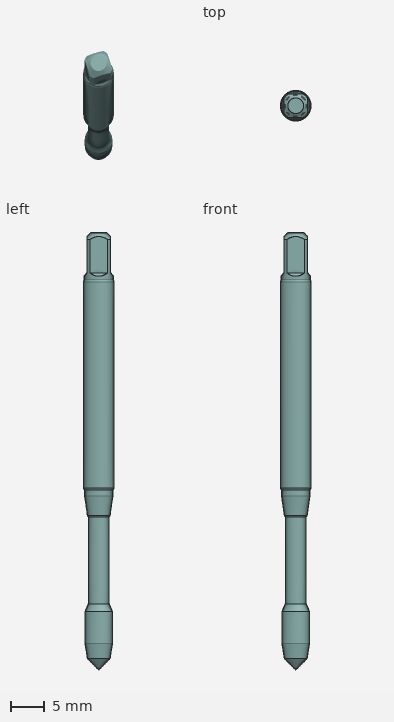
import cadquery as cq

TOTAL_LENGTH = 64.7

TIP_BASE_DIAMETER = 3.35
TIP_HEIGHT = TIP_BASE_DIAMETER / 2
HEAD_DIAMETER = 4.1
HEAD_LOWER_Z = 3.9
HEAD_UPPER_Z = 8.6
HEAD_TOP_Z = 9.8

NECK_DIAMETER = 3.1
NECK_TOP_Z = 22.65
TAPER_LOWER_DIAMETER = 3.35
TAPER_LOWER_Z = 22.85
COLLAR_DIAMETER = 4.2
COLLAR_LOWER_Z = 25.75
COLLAR_UPPER_Z = 26.6
SHANK_DIAMETER = 4.5
SHANK_LOWER_Z = 26.9
SHANK_UPPER_Z = 57.4

DRIVE_DIAMETER = 4.35
DRIVE_LOWER_Z = 57.8
DRIVE_TOP_DIAMETER = 2.3
DRIVE_CHAMFER = (DRIVE_DIAMETER - DRIVE_TOP_DIAMETER) / 2
SQUARE_WIDTH = 3.5
FLAT_LOWER_Z = 58.75
RAMP_RUN = 0.65
RAMP_DROP = 0.8
FLAT_COUNT = 4


def turned(stations):
    """Revolve a profile of (diameter, z) stations, listed upward, about Z."""
    outline = [(diameter / 2, z) for diameter, z in stations]
    outline = [(0, stations[0][1])] + outline + [(0, stations[-1][1])]
    if outline[0] == outline[1]:
        outline.pop(0)
    return cq.Workplane("XZ").polyline(outline).close().revolve(360, (0, 0), (0, 1))


def flat_cutter():
    """Cutter for one drive flat, with a sloping floor that runs out at the rim."""
    inner = SQUARE_WIDTH / 2
    outer = inner + RAMP_RUN
    profile = [
        (inner, FLAT_LOWER_Z),
        (outer, FLAT_LOWER_Z - RAMP_DROP),
        (outer, TOTAL_LENGTH),
        (inner, TOTAL_LENGTH),
    ]
    return cq.Workplane("XZ").polyline(profile).close().extrude(SHANK_DIAMETER / 2, both=True)


def make_head():
    return turned([
        (0, 0),
        (TIP_BASE_DIAMETER, TIP_HEIGHT),
        (HEAD_DIAMETER, HEAD_LOWER_Z),
        (HEAD_DIAMETER, HEAD_UPPER_Z),
        (NECK_DIAMETER, HEAD_TOP_Z),
    ])


def make_shank():
    shank = turned([
        (NECK_DIAMETER, HEAD_TOP_Z),
        (NECK_DIAMETER, NECK_TOP_Z),
        (TAPER_LOWER_DIAMETER, TAPER_LOWER_Z),
        (COLLAR_DIAMETER, COLLAR_LOWER_Z),
        (COLLAR_DIAMETER, COLLAR_UPPER_Z),
        (SHANK_DIAMETER, SHANK_LOWER_Z),
        (SHANK_DIAMETER, SHANK_UPPER_Z),
        (DRIVE_DIAMETER, DRIVE_LOWER_Z),
        (DRIVE_DIAMETER, TOTAL_LENGTH - DRIVE_CHAMFER),
        (DRIVE_TOP_DIAMETER, TOTAL_LENGTH),
    ])
    for index in range(FLAT_COUNT):
        angle = index * 360 / FLAT_COUNT
        shank = shank.cut(flat_cutter().rotate((0, 0, 0), (0, 0, 1), angle))
    return shank


head = make_head()
shank = make_shank()

result = cq.Compound.makeCompound([head.val(), shank.val()])